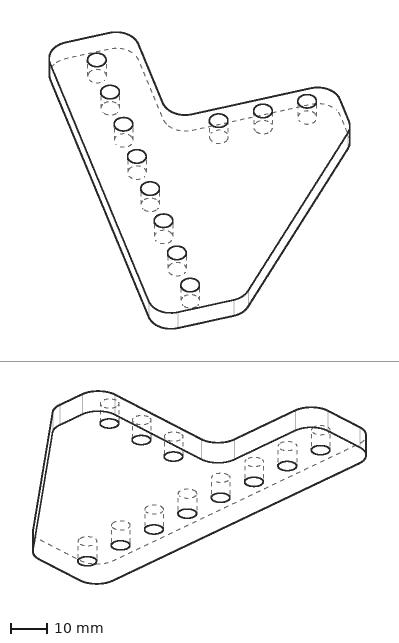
import cadquery as cq

length = 106.6
depth = 72.4
thickness = 6.4
corner_radius = 6.4

bar_depth = 25.4
arm_left = 36.0
arm_top_right = 53.4

hole_diameter = 5.1
bar_hole_count = 8
arm_hole_count = 3
end_margin = 8.8
hole_pitch = (length - 2 * end_margin) / (bar_hole_count - 1)
bar_hole_y = bar_depth / 2
arm_hole_x = 40.5
arm_top_hole_y = depth - end_margin

outline = [
    (0, 0),
    (length, 0),
    (length, bar_depth),
    (arm_top_right, depth),
    (arm_left, depth),
    (arm_left, bar_depth),
    (0, bar_depth),
]
plate = cq.Workplane("XY").polyline(outline).close().extrude(thickness)
plate = plate.edges("|Z").fillet(corner_radius)

bar_holes = [(end_margin + i * hole_pitch, bar_hole_y) for i in range(bar_hole_count)]
arm_holes = [(arm_hole_x, arm_top_hole_y - i * hole_pitch) for i in range(arm_hole_count)]
hole_cutters = (
    cq.Workplane("XY")
    .pushPoints(bar_holes + arm_holes)
    .circle(hole_diameter / 2)
    .extrude(thickness)
)

result = plate.cut(hole_cutters)